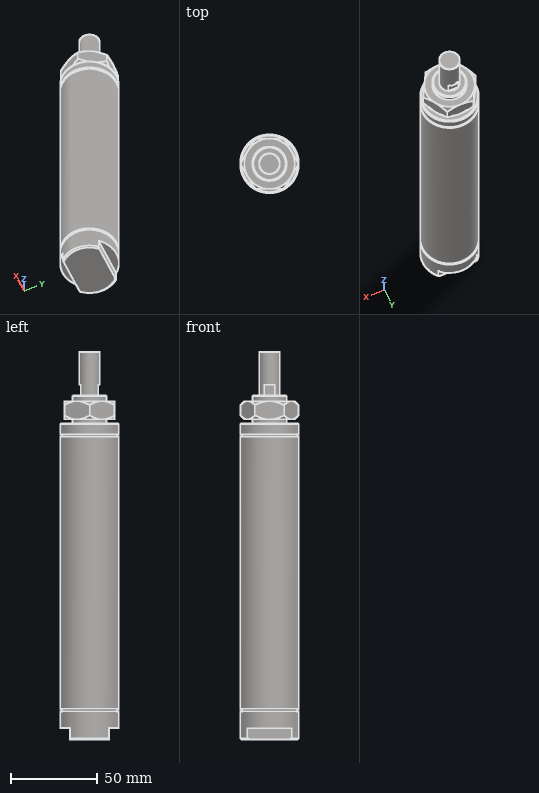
import math

import cadquery as cq

total_length = 224.5
body_radius = 17.0

shoulder_z = 183.2
shoulder_chamfer = 0.7
base_chamfer = 1.0
front_groove_wall_z = 176.7
front_groove_depth = 1.3
rear_groove_wall_z = 16.5
rear_groove_depth = 1.5
rear_flat_width = 22.7
rear_flat_height = 6.7

neck_radius = 10.0
neck_top = 199.5
neck_chamfer = 0.7

nut_bottom = 185.5
nut_height = 10.5
nut_flats = 29.2
nut_chamfer_slope = 1.0

rod_radius = 6.0
rod_chamfer = 0.2
rod_flat_width = 10.3
rod_flat_top = 205.5


def flats_cutter(width, bottom, top, reach):
    """Two blocks that leave parallel flats facing -Y and +Y."""
    height = top - bottom
    middle = (bottom + top) / 2
    outer = cq.Workplane("XY").box(2 * reach, 4 * reach, height)
    kept = cq.Workplane("XY").box(2 * reach, width, height)
    return outer.cut(kept).translate((0, 0, middle))


def make_neck():
    """Plain cylindrical neck with a chamfered tip."""
    return (
        cq.Workplane("XY", origin=(0, 0, shoulder_z))
        .circle(neck_radius)
        .extrude(neck_top - shoulder_z)
        .faces(">Z")
        .chamfer(neck_chamfer)
    )


def make_groove(wall_z, depth, slope_direction):
    """Triangular groove: one flat wall at wall_z, and a 45 degree wall above (1) or below (-1) it."""
    return (
        cq.Workplane("XZ")
        .polyline([
            (body_radius - depth, wall_z),
            (body_radius, wall_z),
            (body_radius, wall_z + slope_direction * depth),
        ])
        .close()
        .revolve(360, (0, 0, 0), (0, 1, 0))
    )


def make_cylinder_body():
    """Barrel, end caps and neck, with a socket that the rod sits in."""
    body = cq.Workplane("XY").circle(body_radius).extrude(shoulder_z)
    body = body.faces(">Z").chamfer(shoulder_chamfer)
    body = body.faces("<Z").chamfer(base_chamfer)

    body = body.cut(make_groove(front_groove_wall_z, front_groove_depth, -1))
    body = body.cut(make_groove(rear_groove_wall_z, rear_groove_depth, 1))
    body = body.cut(flats_cutter(rear_flat_width, 0, rear_flat_height, body_radius))
    body = body.union(make_neck())
    return body.cut(make_rod())


def make_nut():
    """Hexagon nut with corners along X, cone-chamfered at both ends."""
    half_height = nut_height / 2
    flat_radius = nut_flats / 2
    corner_diameter = nut_flats / math.cos(math.pi / 6)
    hexagon = cq.Workplane("XY").polygon(6, corner_diameter).extrude(half_height, both=True)
    widest_radius = flat_radius + half_height / nut_chamfer_slope
    double_cone = (
        cq.Workplane("XZ")
        .polyline([
            (0, -half_height),
            (flat_radius, -half_height),
            (widest_radius, 0),
            (flat_radius, half_height),
            (0, half_height),
        ])
        .close()
        .revolve(360, (0, 0, 0), (0, 1, 0))
    )
    bore = cq.Workplane("XY").circle(neck_radius).extrude(half_height, both=True)
    return hexagon.intersect(double_cone).cut(bore).translate((0, 0, nut_bottom + half_height))


def make_rod():
    """Piston rod with wrench flats, ending at the level of the shoulder inside the neck."""
    rod = (
        cq.Workplane("XY", origin=(0, 0, shoulder_z))
        .circle(rod_radius)
        .extrude(total_length - shoulder_z)
        .faces(">Z")
        .chamfer(rod_chamfer)
    )
    return rod.cut(flats_cutter(rod_flat_width, neck_top, rod_flat_top, rod_radius))


cylinder_body = make_cylinder_body()
nut = make_nut()
rod = make_rod()

result = cq.Compound.makeCompound([cylinder_body.val(), nut.val(), rod.val()])